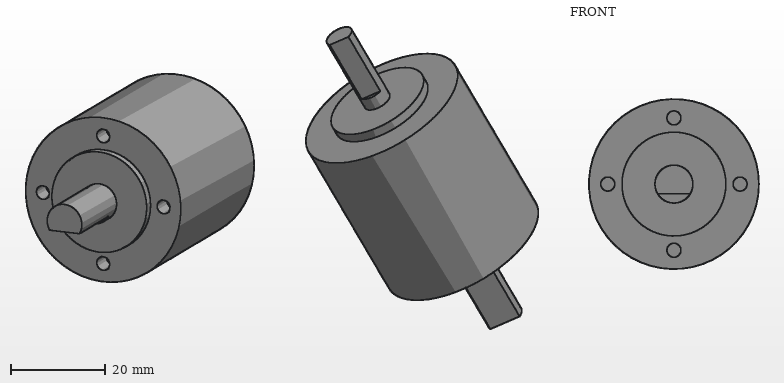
import cadquery as cq

overall_length = 78.0
body_diameter = 36.0
body_length = 38.0
boss_diameter = 22.0
boss_length = 2.0

front_shaft_diameter = 8.0
rear_shaft_diameter = 6.0
flat_offset = 2.0
round_shaft_length = 3.0

hole_diameter = 3.0
hole_circle_diameter = 28.0
hole_depth = 5.0
hole_count = 4

body_end = body_length / 2
boss_end = body_end + boss_length
shaft_end = overall_length / 2
flat_start = boss_end + round_shaft_length


def cylinder_along_y(diameter, y_start, y_end):
    """Cylinder on the Y axis between two positions, y_start < y_end."""
    return (
        cq.Workplane("XZ", origin=(0, y_start, 0))
        .circle(diameter / 2)
        .extrude(y_start - y_end)
    )


def flatted_shaft(diameter, direction):
    """Output shaft towards direction (+1 or -1 along Y) with a flat on its -Z side."""
    y_start, y_end = sorted((direction * body_end, direction * shaft_end))
    shaft = cylinder_along_y(diameter, y_start, y_end)
    flat_length = shaft_end - flat_start
    flat_middle = direction * (flat_start + shaft_end) / 2
    waste = (
        cq.Workplane("XY", origin=(0, flat_middle, -flat_offset))
        .rect(diameter, flat_length)
        .extrude(-diameter)
    )
    return shaft.cut(waste)


def mounting_holes():
    """Blind holes in the front face of the body, evenly spaced around the axis."""
    return (
        cq.Workplane("XZ", origin=(0, -body_end, 0))
        .polarArray(hole_circle_diameter / 2, 0, 360, hole_count)
        .circle(hole_diameter / 2)
        .extrude(-hole_depth)
    )


body = cylinder_along_y(body_diameter, -body_end, body_end)
bosses = cylinder_along_y(boss_diameter, -boss_end, boss_end)
front_shaft = flatted_shaft(front_shaft_diameter, -1)
rear_shaft = flatted_shaft(rear_shaft_diameter, 1)

result = body.union(bosses).union(front_shaft).union(rear_shaft).cut(mounting_holes())